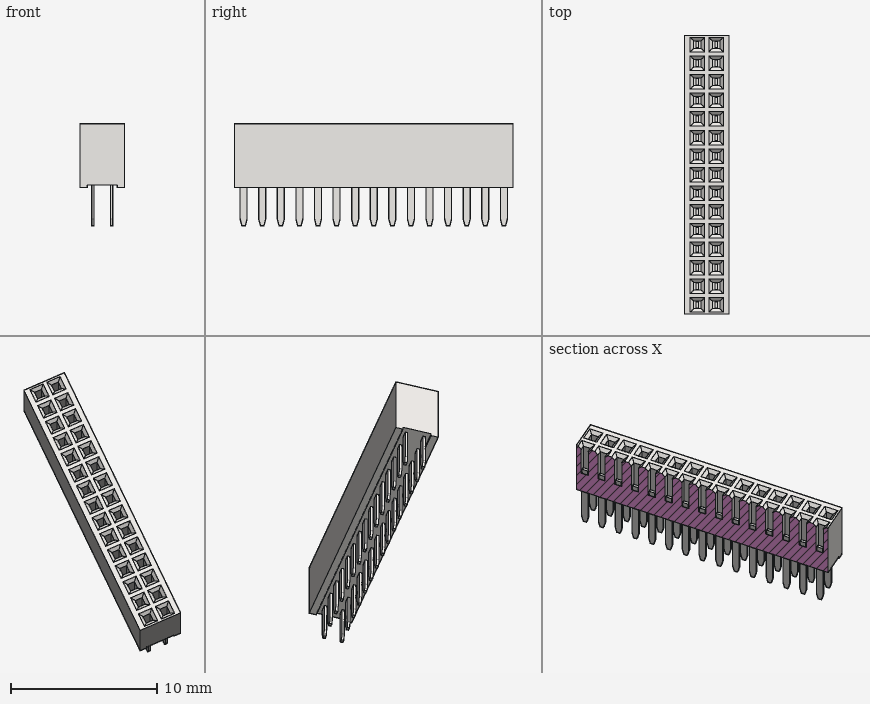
import cadquery as cq


CONTACTS_PER_ROW = 15
ROWS = 2
HOUSING_LENGTH = 19.05
PITCH = HOUSING_LENGTH / CONTACTS_PER_ROW

HOUSING_WIDTH = 3.05
OVERALL_HEIGHT = 7.0
HOUSING_HEIGHT = 4.38
STANDOFF_HEIGHT = 0.17
STANDOFF_WIDTH = 0.51

FUNNEL_TOP = 1.0
SOCKET_WIDTH = 0.51
SOCKET_DEPTH = 2.48

PIN_THICKNESS = 0.17
PIN_WIDTH = 0.5
PIN_TIP_WIDTH = 0.25
PIN_TIP_LENGTH = 0.48
CONTACT_WIDTH = 0.42
CONTACT_RISE = 0.38

housing_bottom = OVERALL_HEIGHT - HOUSING_HEIGHT
socket_floor = OVERALL_HEIGHT - SOCKET_DEPTH
contact_top = socket_floor + CONTACT_RISE

funnel_depth = (FUNNEL_TOP - SOCKET_WIDTH) / 2

contact_centers = [
    ((row - (ROWS - 1) / 2) * PITCH, (place - (CONTACTS_PER_ROW - 1) / 2) * PITCH)
    for row in range(ROWS)
    for place in range(CONTACTS_PER_ROW)
]


def make_housing():
    """Block with a full-length recess underneath, leaving a standoff rail along each side."""
    block = cq.Workplane("XY", origin=(0, 0, housing_bottom)).box(
        HOUSING_WIDTH, HOUSING_LENGTH, HOUSING_HEIGHT, centered=(True, True, False)
    )
    recess = cq.Workplane("XY", origin=(0, 0, housing_bottom)).box(
        HOUSING_WIDTH - 2 * STANDOFF_WIDTH,
        HOUSING_LENGTH,
        STANDOFF_HEIGHT,
        centered=(True, True, False),
    )
    return block.cut(recess)


def make_opening():
    """Square lead-in funnel above a straight square socket, centred on the Z axis."""
    funnel = (
        cq.Workplane("XY", origin=(0, 0, OVERALL_HEIGHT))
        .rect(FUNNEL_TOP, FUNNEL_TOP)
        .workplane(offset=-funnel_depth)
        .rect(SOCKET_WIDTH, SOCKET_WIDTH)
        .loft(ruled=True)
    )
    socket = (
        cq.Workplane("XY", origin=(0, 0, OVERALL_HEIGHT - funnel_depth))
        .rect(SOCKET_WIDTH, SOCKET_WIDTH)
        .extrude(funnel_depth - SOCKET_DEPTH)
    )
    return funnel.union(socket)


def make_pin():
    """Flat pin with a tapered tip and a narrower contact standing up from the socket floor."""
    half_outline = [
        (0, 0),
        (PIN_TIP_WIDTH / 2, 0),
        (PIN_WIDTH / 2, PIN_TIP_LENGTH),
        (PIN_WIDTH / 2, socket_floor),
        (CONTACT_WIDTH / 2, socket_floor),
        (CONTACT_WIDTH / 2, contact_top),
        (0, contact_top),
    ]
    half_pin = cq.Workplane("YZ").polyline(half_outline).close().extrude(PIN_THICKNESS / 2, both=True)
    return half_pin.union(half_pin.mirror("XZ")).clean()


def at_every_contact(shape):
    """Copies of a shape moved to every position of the contact grid."""
    solid = shape.val()
    copies = [solid.moved(cq.Location(cq.Vector(x, y, 0))) for x, y in contact_centers]
    return cq.Workplane(obj=cq.Compound.makeCompound(copies))


result = make_housing().cut(at_every_contact(make_opening())).union(at_every_contact(make_pin()))